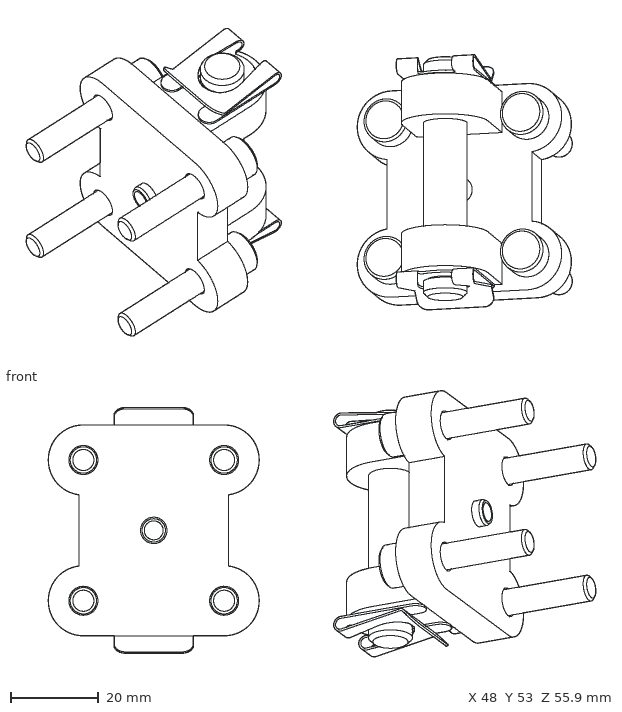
import cadquery as cq
import math


plate_thickness = 9.0
screw_offset = 16.0
lobe_radius = 8.0
waist_width = 34.0
plate_height = 2 * (screw_offset + lobe_radius)
screw_hole_diameter = 6.6

lug_radius = 10.0
pin_y = 22.0
lug_inner_z = 12.9
lug_outer_z = 22.4
lug_thickness = lug_outer_z - lug_inner_z

pin_diameter = 10.0
pin_half_length = 27.5
pin_chamfer = 1.0
groove_diameter = 8.0
groove_inner_z = 23.0
groove_outer_z = 24.0
groove_width = groove_outer_z - groove_inner_z

screw_diameter = 6.0
screw_length = 30.0
screw_head_diameter = 10.0
screw_head_height = 6.0
screw_head_chamfer = 0.6
screw_tip_chamfer = 0.6

dowel_diameter = 6.0
dowel_projection = 2.5
dowel_tip_height = 0.65
dowel_tip_inset = 0.35
dowel_bore_diameter = 4.3
dowel_bore_depth = 6.0

clip_width = 18.0
clip_thickness = 0.5
clip_seat_z = groove_inner_z
clip_back_y = pin_y + lug_radius
clip_bend_radius = 1.8
clip_leaf_angle = math.radians(9.2)
clip_knee_y = 14.8
clip_flap_angle = math.radians(46.7)
clip_flap_length = 5.37
clip_knee_radius = 0.25
clip_flap_corner = 2.5
clip_tip_y = 10.0
clip_eye_radius = 5.5
clip_mouth_width = 8.0
clip_bridge_radius = 8.0
clip_bridge_fillet = 0.8
tongue_width = (clip_width - groove_diameter) / 2

screw_positions = [
    (x, z)
    for x in (-screw_offset, screw_offset)
    for z in (-screw_offset, screw_offset)
]


def cylinder_along_y(x, z, diameter, start_y, length):
    """Cylinder that starts at start_y and runs toward +Y."""
    plane = cq.Plane(origin=(x, start_y, z), xDir=(1, 0, 0), normal=(0, 1, 0))
    return cq.Workplane(plane).circle(diameter / 2).extrude(length)


def make_lug(bottom_z):
    """Round-ended lug rising from the back face of the plate."""
    return (
        cq.Workplane("XY", origin=(0, 0, bottom_z))
        .moveTo(-lug_radius, plate_thickness)
        .lineTo(-lug_radius, pin_y)
        .threePointArc((0, pin_y + lug_radius), (lug_radius, pin_y))
        .lineTo(lug_radius, plate_thickness)
        .close()
        .extrude(lug_thickness)
    )


def make_bracket():
    """Plate with four round corner lobes, two lugs and all the holes."""
    body = cq.Workplane("XY").box(
        waist_width, plate_thickness, 2 * screw_offset, centered=(True, False, True)
    )
    body = body.union(
        cq.Workplane("XY").box(
            2 * screw_offset, plate_thickness, plate_height, centered=(True, False, True)
        )
    )
    for x, z in screw_positions:
        body = body.union(cylinder_along_y(x, z, 2 * lobe_radius, 0, plate_thickness))
    for bottom_z in (lug_inner_z, -lug_outer_z):
        body = body.union(make_lug(bottom_z))
    for x, z in screw_positions:
        body = body.cut(cylinder_along_y(x, z, screw_hole_diameter, 0, plate_thickness))
    body = body.cut(cylinder_along_y(0, 0, dowel_diameter, 0, plate_thickness))
    pin_hole = (
        cq.Workplane("XY", origin=(0, pin_y, -lug_outer_z))
        .circle(pin_diameter / 2)
        .extrude(2 * lug_outer_z)
    )
    return body.cut(pin_hole)


def make_pin():
    """Pivot pin with chamfered ends and a clip groove near each end."""
    pin = (
        cq.Workplane("XY", origin=(0, pin_y, -pin_half_length))
        .circle(pin_diameter / 2)
        .extrude(2 * pin_half_length)
        .faces("<Z or >Z")
        .chamfer(pin_chamfer)
    )
    for bottom_z in (groove_inner_z, -groove_outer_z):
        groove = (
            cq.Workplane("XY", origin=(0, pin_y, bottom_z))
            .circle(pin_diameter / 2)
            .circle(groove_diameter / 2)
            .extrude(groove_width)
        )
        pin = pin.cut(groove)
    return pin


def make_screw(x, z):
    """Cylinder-head screw, its head resting on the back face of the plate."""
    shank = cylinder_along_y(x, z, screw_diameter, plate_thickness - screw_length, screw_length)
    shank = shank.faces("<Y").chamfer(screw_tip_chamfer)
    head = cylinder_along_y(x, z, screw_head_diameter, plate_thickness, screw_head_height)
    head = head.faces(">Y").chamfer(screw_head_chamfer)
    return shank.union(head)


def make_dowel():
    """Dowel flush with the back of the plate, its projecting end tapered and bored."""
    length = plate_thickness + dowel_projection
    dowel = cylinder_along_y(0, 0, dowel_diameter, -dowel_projection, length)
    dowel = dowel.faces("<Y").chamfer(dowel_tip_height, dowel_tip_inset)
    bore = cylinder_along_y(0, 0, dowel_bore_diameter, -dowel_projection, dowel_bore_depth)
    return dowel.cut(bore)


def make_clip_strip():
    """Folded strip, full width, with the lower leaf ending where the tongue tips begin."""
    bend_y = clip_back_y - clip_bend_radius
    bend_z = clip_seat_z + clip_bend_radius
    outer = clip_bend_radius
    inner = clip_bend_radius - clip_thickness
    middle = (outer + inner) / 2
    leaf_end_y = clip_tip_y + tongue_width / 2

    leaf_normal = (-math.sin(clip_leaf_angle), math.cos(clip_leaf_angle))
    flap_normal = (math.sin(clip_flap_angle), math.cos(clip_flap_angle))
    flap_direction = (-math.cos(clip_flap_angle), math.sin(clip_flap_angle))

    knee_drop = (bend_y - clip_knee_y) * math.tan(clip_leaf_angle)
    knee_z = bend_z + middle / math.cos(clip_leaf_angle) - knee_drop
    mitre_scale = 1 + leaf_normal[0] * flap_normal[0] + leaf_normal[1] * flap_normal[1]
    mitre = [(a + b) / mitre_scale for a, b in zip(leaf_normal, flap_normal)]

    def bend_point(radius):
        return (bend_y + radius * leaf_normal[0], bend_z + radius * leaf_normal[1])

    def knee_point(offset):
        return (clip_knee_y + offset * mitre[0], knee_z + offset * mitre[1])

    def flap_point(offset):
        return (
            clip_knee_y + clip_flap_length * flap_direction[0] + offset * flap_normal[0],
            knee_z + clip_flap_length * flap_direction[1] + offset * flap_normal[1],
        )

    half = clip_thickness / 2
    strip = (
        cq.Workplane("YZ", origin=(-clip_width / 2, 0, 0))
        .moveTo(leaf_end_y, clip_seat_z)
        .lineTo(bend_y, clip_seat_z)
        .threePointArc((bend_y + outer, bend_z), bend_point(outer))
        .lineTo(*knee_point(half))
        .lineTo(*flap_point(half))
        .lineTo(*flap_point(-half))
        .lineTo(*knee_point(-half))
        .lineTo(*bend_point(inner))
        .threePointArc((bend_y + inner, bend_z), (bend_y, bend_z - inner))
        .lineTo(leaf_end_y, clip_seat_z + clip_thickness)
        .close()
        .extrude(clip_width)
    )
    inside_knee = cq.selectors.NearestToPointSelector((0, *knee_point(half)))
    strip = strip.edges(inside_knee).fillet(clip_knee_radius)
    outside_knee = cq.selectors.NearestToPointSelector((0, *knee_point(-half)))
    strip = strip.edges(outside_knee).fillet(clip_knee_radius + clip_thickness)
    across_flap = cq.selectors.ParallelDirSelector(cq.Vector(0, *flap_normal))
    return strip.edges(across_flap).fillet(clip_flap_corner)


def make_clip_mouth(bottom_z, height):
    """Prism tapering from the sides of the pin eye to the narrow mouth at the bend."""
    mouth_half = clip_mouth_width / 2
    reach = clip_back_y - pin_y
    corner_distance = math.hypot(mouth_half, reach)
    tangent_angle = math.atan2(reach, mouth_half) - math.acos(clip_eye_radius / corner_distance)
    tangent_x = clip_eye_radius * math.cos(tangent_angle)
    tangent_y = pin_y + clip_eye_radius * math.sin(tangent_angle)
    return (
        cq.Workplane("XY", origin=(0, 0, bottom_z))
        .polyline([
            (-tangent_x, tangent_y),
            (-mouth_half, clip_back_y),
            (mouth_half, clip_back_y),
            (tangent_x, tangent_y),
        ])
        .close()
        .extrude(height)
    )


def make_clip():
    """Spring clip seated in the upper groove of the pin."""
    leaf_top_z = clip_seat_z + clip_thickness
    upper_height = 2 * clip_bend_radius
    clip = make_clip_strip()

    eye = (
        cq.Workplane("XY", origin=(0, pin_y, leaf_top_z))
        .circle(clip_eye_radius)
        .extrude(upper_height)
    )
    clip = clip.cut(eye).cut(make_clip_mouth(leaf_top_z, upper_height))

    bridge = (
        cq.Workplane("XY", origin=(0, pin_y, clip_seat_z))
        .circle(clip_bridge_radius)
        .extrude(clip_thickness)
    )
    lower_mouth = make_clip_mouth(clip_seat_z, clip_thickness).cut(bridge)
    lower_mouth = lower_mouth.edges("|Z").edges("<Y").fillet(clip_bridge_fillet)
    clip = clip.cut(lower_mouth)

    tongue_end_y = clip_tip_y + tongue_width / 2
    tongue_x = (groove_diameter + tongue_width) / 2
    tips = (
        cq.Workplane("XY", origin=(0, tongue_end_y, clip_seat_z))
        .pushPoints([(-tongue_x, 0), (tongue_x, 0)])
        .circle(tongue_width / 2)
        .extrude(clip_thickness)
    )
    slot = (
        cq.Workplane("XY", origin=(0, 0, clip_seat_z))
        .moveTo(-groove_diameter / 2, clip_tip_y)
        .lineTo(-groove_diameter / 2, pin_y)
        .threePointArc((0, pin_y + groove_diameter / 2), (groove_diameter / 2, pin_y))
        .lineTo(groove_diameter / 2, clip_tip_y)
        .close()
        .extrude(clip_thickness)
    )
    return clip.cut(slot).union(tips)


bracket = make_bracket()
pin = make_pin()
dowel = make_dowel()
screws = [make_screw(x, z) for x, z in screw_positions]
upper_clip = make_clip()
clips = [upper_clip, upper_clip.mirror("XY")]

result = cq.Compound.makeCompound([
    bracket.val(),
    pin.val(),
    dowel.val(),
    *[screw.val() for screw in screws],
    *[clip.val() for clip in clips],
])